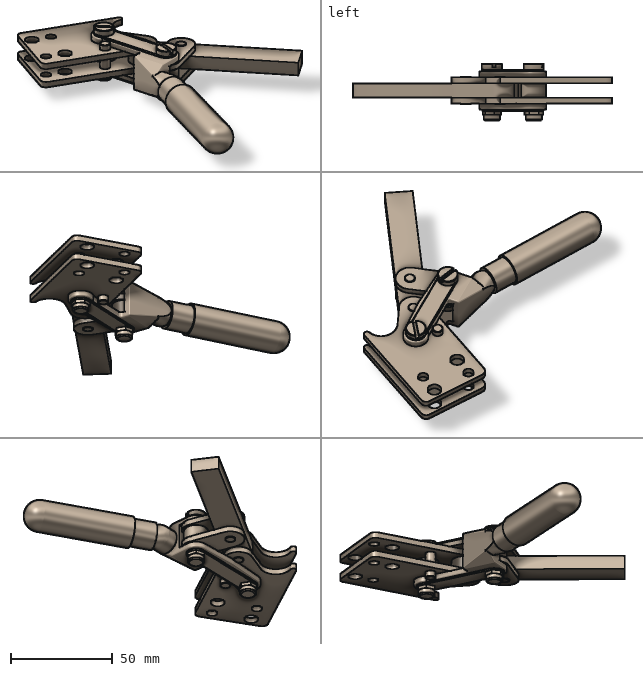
import cadquery as cq
import math


plate_inner = 3.5
plate_outer = 6.5
arm_outer = 9.5
rib_outer = 10.2
head_top = 13.2
screw_bottom = -14.8

base_width = 37.1
base_corner_radius = 3.0
finger_radius = 1.55
finger_top = 54.9
notch_radius = 8.0
lobe_radius = 7.1
pivot_height = 55.0
small_hole_diameter = 5.1
large_hole_diameter = 6.8
hole_pitch_x = 20.0
hole_pitch_y = 10.0
first_hole = (9.1, 4.85)

bar_pin = (base_width - lobe_radius, pivot_height)
fork_pin = (39.05, 71.85)
base_screw = (20.4, 38.4)
fork_screw = (52.85, 59.0)
stop_pin = (31.0, 35.1)
pin_radius = 2.55
pin_overhang = 0.3
pin_chamfer = 0.25

bar_half_width = 6.9
bar_length = 78.22
fork_end_radius = 7.0

head_radius = 5.0
head_chamfer = 0.3
slot_width = 1.6
slot_depth = 1.8
spacer_radius = 6.1
spacer_chamfer = 0.2
hex_across_flats = 8.1
hex_height = 1.8
nut_radius = 4.05
nut_chamfer = 0.7
base_slot_angle = 65.0
fork_slot_angle = 12.0
base_hex_angle = 90.0
fork_hex_angle = 75.0

arm_dx = fork_screw[0] - base_screw[0]
arm_dy = fork_screw[1] - base_screw[1]
arm_length = math.hypot(arm_dx, arm_dy)
arm_angle = math.degrees(math.atan2(arm_dy, arm_dx))
arm_end_radius = 6.2
arm_lower_edge = -5.4
arm_crown = (19.0, 7.2)
arm_edge_fillet = 0.8
rib_base_half_width = 4.9
rib_taper = 35.0

wedge_start = 26.8
wedge_end = arm_length + arm_end_radius
wedge_nose = -11.0
wedge_foot = -17.75
wedge_crease = -10.4
wedge_side_slope = 0.62
wedge_throat_radius = 1.5
wedge_nose_radius = 0.5
wedge_front_fillet = 0.8
web_thickness = 3.1
channel_end = 40.0

rod_radius = 6.4
rod_start = 43.0
elbow = (50.3, -13.55)
grip_angle = 2.3
collar_start = 3.3
collar_radius = 7.0
grip_start = 15.1
grip_radius = 8.0
tip_x = 139.88


def cylinder(center, radius, z_low, z_high):
    """Upright cylinder between two heights."""
    return cq.Workplane("XY", origin=(*center, z_low)).circle(radius).extrude(z_high - z_low)


def stadium(start, end, radius, thickness, taper=0):
    """Plate on Z = 0 with a round end at each of two points."""
    dx = end[0] - start[0]
    dy = end[1] - start[1]
    span = math.hypot(dx, dy)
    plate = cq.Workplane("XY").slot2D(span + 2 * radius, 2 * radius).extrude(thickness, taper=taper)
    turned = plate.translate((span / 2, 0, 0)).rotate((0, 0, 0), (0, 0, 1), math.degrees(math.atan2(dy, dx)))
    return turned.translate((*start, 0))


def both_sides(body):
    """The body together with its mirror image below the mid-plane."""
    return body.union(body.mirror("XY"))


def to_world(body):
    """Move a body from the handle frame to its place on the base."""
    return body.rotate((0, 0, 0), (0, 0, 1), arm_angle).translate((*base_screw, 0))


def point_on_circle(center, radius, angle):
    return (center[0] + radius * math.cos(angle), center[1] + radius * math.sin(angle))


def make_base_plates():
    """Two plates with a hooked notch, a round lobe for the bar pin and four mounting holes."""
    finger_center = (finger_radius, finger_top - finger_radius)
    rise = pivot_height - finger_center[1]
    notch_center = (finger_center[0] + math.sqrt((notch_radius + finger_radius) ** 2 - rise**2), pivot_height)
    contact_angle = math.atan2(-rise, finger_center[0] - notch_center[0])
    contact = point_on_circle(notch_center, notch_radius, contact_angle)
    tip = point_on_circle(finger_center, finger_radius, math.pi / 2)
    lean = math.asin((notch_radius + lobe_radius) / (bar_pin[0] - notch_center[0]))
    flank_angle = lean - math.pi / 2
    flank_foot = point_on_circle(notch_center, notch_radius, flank_angle)
    flank_top = point_on_circle(bar_pin, lobe_radius, flank_angle + math.pi)
    notch_bottom = point_on_circle(notch_center, notch_radius, -math.pi / 2)
    lobe_top = point_on_circle(bar_pin, lobe_radius, math.pi / 2)
    plate = (
        cq.Workplane("XY", origin=(0, 0, plate_inner))
        .lineTo(base_width, 0)
        .lineTo(base_width, pivot_height)
        .threePointArc(lobe_top, flank_top)
        .lineTo(*flank_foot)
        .threePointArc(notch_bottom, contact)
        .threePointArc(tip, (0, finger_center[1]))
        .close()
        .extrude(plate_outer - plate_inner)
        .edges("|Z and <Y")
        .fillet(base_corner_radius)
    )
    left, low = first_hole
    right = left + hole_pitch_x
    high = low + hole_pitch_y
    large_holes = [(left, low), (right, high)]
    small_holes = [(left, high), (right, low)]
    plate = plate.faces(">Z").workplane(origin=(0, 0, 0)).pushPoints(large_holes).hole(large_hole_diameter)
    plate = plate.faces(">Z").workplane(origin=(0, 0, 0)).pushPoints(small_holes).hole(small_hole_diameter)
    return both_sides(plate)


def make_bar():
    """Clamping bar between the plates: round around the bar pin and square at the far end."""
    dx = fork_pin[0] - bar_pin[0]
    dy = fork_pin[1] - bar_pin[1]
    direction = math.degrees(math.atan2(dy, dx))
    blade = cq.Workplane("XY").box(
        bar_length, 2 * bar_half_width, 2 * plate_inner, centered=(False, True, True)
    )
    heel = cylinder((0, 0), bar_half_width, -plate_inner, plate_inner)
    return blade.union(heel).rotate((0, 0, 0), (0, 0, 1), direction).translate((*bar_pin, 0))


def make_fork():
    """Two links that straddle the bar, level with the base plates."""
    link = stadium(fork_pin, fork_screw, fork_end_radius, plate_outer - plate_inner)
    return both_sides(link.translate((0, 0, plate_inner)))


def make_pins():
    """Two riveted pins just proud of the plates, and the longer stop pin."""
    rivet_end = plate_outer + pin_overhang
    pins = cq.Workplane("XY")
    for center, end in ((bar_pin, rivet_end), (fork_pin, rivet_end), (stop_pin, arm_outer)):
        pins = pins.add(cylinder(center, pin_radius, -end, end).faces("<Z or >Z").chamfer(pin_chamfer))
    return pins.combine()


def make_screw(center, slot_angle, hex_angle):
    """Slotted screw through the arms, with a spacer in the middle and a collared hex nut below."""
    head = cylinder((0, 0), head_radius, rib_outer, head_top).faces(">Z").edges().chamfer(head_chamfer)
    slot = cq.Workplane("XY", origin=(0, 0, head_top)).box(3 * head_radius, slot_width, 2 * slot_depth)
    head = head.cut(slot.rotate((0, 0, 0), (0, 0, 1), slot_angle))
    spacer = cylinder((0, 0), spacer_radius, -plate_inner, plate_inner).faces("<Z or >Z").chamfer(spacer_chamfer)
    hex_corners = hex_across_flats / math.cos(math.pi / 6)
    hex_nut = cq.Workplane("XY", origin=(0, 0, -rib_outer - hex_height)).polygon(6, hex_corners)
    hex_nut = hex_nut.extrude(hex_height).rotate((0, 0, 0), (0, 0, 1), hex_angle)
    collar = cylinder((0, 0), nut_radius, screw_bottom, -rib_outer).faces("<Z").chamfer(nut_chamfer)
    return head.union(spacer).union(hex_nut).union(collar).translate((*center, 0))


def around_point(u, v):
    """Selects the edges centred close to one point of the handle frame, at any height."""
    reach = 0.8
    return cq.selectors.BoxSelector((u - reach, v - reach, -arm_outer), (u + reach, v + reach, arm_outer))


def make_arm_plate():
    """Upper handle arm: round at both screws, crowned on one side, with the flat of the wedge on the other."""
    rear_reach = math.hypot(*arm_crown)
    rear_angle = math.atan2(arm_crown[1], arm_crown[0]) + math.acos(arm_end_radius / rear_reach)
    front_reach = math.hypot(arm_length - arm_crown[0], arm_crown[1])
    front_bearing = math.atan2(arm_crown[1], arm_crown[0] - arm_length)
    front_angle = front_bearing - math.acos(arm_end_radius / front_reach)
    front_center = (arm_length, 0)
    rear_low_angle = math.asin(arm_lower_edge / arm_end_radius)
    rear_low = point_on_circle((0, 0), arm_end_radius, rear_low_angle)
    arm = (
        cq.Workplane("XY", origin=(0, 0, plate_outer))
        .moveTo(*rear_low)
        .lineTo(wedge_start, arm_lower_edge)
        .lineTo(wedge_start, wedge_crease)
        .lineTo(wedge_end, wedge_crease)
        .lineTo(wedge_end, 0)
        .threePointArc(
            point_on_circle(front_center, arm_end_radius, front_angle / 2),
            point_on_circle(front_center, arm_end_radius, front_angle),
        )
        .lineTo(*arm_crown)
        .lineTo(*point_on_circle((0, 0), arm_end_radius, rear_angle))
        .threePointArc((-arm_end_radius, 0), rear_low)
        .close()
        .extrude(arm_outer - plate_outer)
    )
    return arm.edges(around_point(wedge_start, arm_lower_edge)).fillet(wedge_throat_radius)


def front_face_v(u):
    """V of the sloping front face that the wedge and the rod share."""
    return wedge_nose + (wedge_foot - wedge_nose) * (u - wedge_start) / (wedge_end - wedge_start)


def beyond_front_face():
    """The space outside the sloping front face."""
    far_end = elbow[0] + rod_radius
    depth = 2 * wedge_foot
    outline = [
        (wedge_start, wedge_nose),
        (far_end, front_face_v(far_end)),
        (far_end, depth),
        (wedge_start, depth),
    ]
    return cq.Workplane("XY").polyline(outline).close().extrude(2 * arm_outer, both=True)


def make_channel():
    """The hollow between the arms, which leaves a web of even depth behind the front face."""
    outline = [
        (wedge_start, front_face_v(wedge_start) + web_thickness),
        (channel_end, front_face_v(channel_end) + web_thickness),
        (channel_end, arm_lower_edge),
        (wedge_start, arm_lower_edge),
    ]
    return cq.Workplane("XY").polyline(outline).close().extrude(plate_outer, both=True)


def make_wedge():
    """Bar along U whose cross-section narrows past the crease, cut by the sloping front face."""
    foot_height = arm_outer - wedge_side_slope * (wedge_crease - wedge_foot)
    section = [
        (arm_lower_edge, -arm_outer),
        (wedge_crease, -arm_outer),
        (wedge_foot, -foot_height),
        (wedge_foot, foot_height),
        (wedge_crease, arm_outer),
        (arm_lower_edge, arm_outer),
    ]
    profile = cq.Workplane("YZ", origin=(wedge_start, 0, 0)).polyline(section).close()
    wedge = profile.extrude(wedge_end - wedge_start)
    return wedge.cut(beyond_front_face())


def make_handle():
    """Two ribbed arms joined by the hollow wedge, with the bent rod at its end."""
    body = both_sides(make_arm_plate()).union(make_wedge())
    crease = cq.selectors.BoxSelector(
        (wedge_start, wedge_crease - 0.1, -rib_outer), (wedge_end, wedge_crease + 0.1, rib_outer)
    )
    rim = body.faces("<Z or >Z").edges(cq.selectors.InverseSelector(crease))
    sloping_ends = body.faces(">X").edges("not (|Y or |Z)")
    body = rim.add(sloping_ends).fillet(arm_edge_fillet)
    wedge_middle = (wedge_start + wedge_end) / 2
    front_sides = around_point(wedge_middle, front_face_v(wedge_middle))
    body = body.edges(front_sides).fillet(wedge_front_fillet)
    body = body.edges(around_point(wedge_start, wedge_nose)).fillet(wedge_nose_radius)
    body = body.cut(make_channel())
    rib = stadium((0, 0), (arm_length, 0), rib_base_half_width, rib_outer - arm_outer, rib_taper)
    handle = body.union(both_sides(rib.translate((0, 0, arm_outer))))

    rod = cq.Workplane("YZ", origin=(rod_start, elbow[1], 0)).circle(rod_radius).extrude(elbow[0] - rod_start)
    rod = rod.union(cq.Workplane("XY").sphere(rod_radius).translate((*elbow, 0)))
    rod = rod.cut(beyond_front_face())
    return to_world(handle.union(rod))


def make_grip():
    """Collar and domed grip on one straight axis that starts at the rod's elbow."""
    turn = math.radians(arm_angle)
    center_x = base_screw[0] + elbow[0] * math.cos(turn) - elbow[1] * math.sin(turn)
    center_y = base_screw[1] + elbow[0] * math.sin(turn) + elbow[1] * math.cos(turn)
    tilt = math.radians(grip_angle)
    dome = (tip_x - grip_radius - center_x) / math.cos(tilt)
    half_profile = (
        cq.Workplane("XY")
        .lineTo(0, pin_radius)
        .lineTo(collar_start, pin_radius)
        .lineTo(collar_start, collar_radius)
        .lineTo(grip_start, collar_radius)
        .lineTo(grip_start, grip_radius)
        .lineTo(dome, grip_radius)
        .radiusArc((dome + grip_radius, 0), grip_radius)
        .close()
    )
    grip = half_profile.revolve(360, (0, 0, 0), (1, 0, 0))
    return grip.rotate((0, 0, 0), (0, 0, 1), grip_angle).translate((center_x, center_y, 0))


result = make_base_plates().union(make_bar()).union(make_fork()).union(make_pins())
result = result.union(make_screw(base_screw, base_slot_angle, base_hex_angle))
result = result.union(make_screw(fork_screw, fork_slot_angle, fork_hex_angle))
result = result.union(make_handle()).union(make_grip())